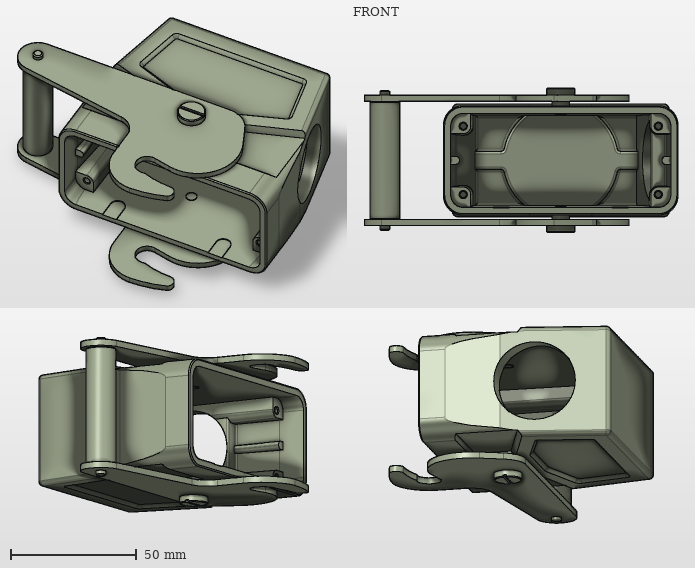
import cadquery as cq
import math


HOOD_HEIGHT = 76.0
MOUTH_HALF_LENGTH = 46.6
SKIRT_HALF_DEPTH = 21.7
SKIRT_CORNER_RADIUS = 7.7
PANEL_HALF_DEPTH = 22.5
PANEL_FILLET = 1.9
MOUTH_CHAMFER = 0.5
SKIRT_TOP = 11.0
KNEE_Y = 33.0
KNEE_INSET = 2.1
END_SLOPE = 0.2

SUNKEN_HALF_DEPTH = 20.2
SUNKEN_BOTTOM = 14.7
SUNKEN_BEVEL = 40.0
PIVOT_PAD_HALF_LENGTH = 12.5
CHEVRON_BOTTOM = 29.4
CHEVRON_HALF_FLAT = 12.5
CHEVRON_SLOPE = 0.34

RECESS_DEPTH = 1.5
RECESS_TOP = 68.0
RECESS_TOP_HALF_LENGTH = 29.7
RECESS_SIDE_BOTTOM = 44.9
RECESS_BOTTOM = 37.2
RECESS_CORNER_RADIUS = 2.2
RECESS_BEVEL = 45.0

CAVITY_HALF_LENGTH = 43.8
CAVITY_MOUTH_HALF_DEPTH = 18.7
CAVITY_FLOOR_HALF_DEPTH = 17.8
CAVITY_CORNER_RADIUS = 5.1
CAVITY_FLOOR = 72.8
CAVITY_FLOOR_FILLET = 1.0

PLATFORM_HEIGHT = 2.5
PLATFORM_RADIUS = 23.0
PLATFORM_BAND_HALF_WIDTH = 3.6
PLATFORM_NOTCH_RADIUS = 1.2
PLATFORM_FILLET = 1.0

POST_FACE = 9.4
POST_INNER_X = 35.8
POST_INNER_Z = 10.6
POST_CORNER_RADIUS = 3.0
POST_DRAFT = 1.0
POST_HOLE_X = 38.8
POST_HOLE_Z = 13.6
POST_HOLE_DIAMETER = 2.5
POST_HOLE_DEPTH = 12.5
POST_HOLE_CHAMFER = 0.4
RIB_NOSE_X = 40.3
RIB_HALF_WIDTH = 1.6
RIB_NOSE_RADIUS = 1.5

ENTRY_LEDGE = 29.9
ENTRY_LEDGE_FILLET = 0.7
ENTRY_LEAN_START = 48.0
ENTRY_FLOOR_X = 30.2
ENTRY_RADIUS = 16.0
ENTRY_CENTRE_Y = 46.5

GROOVE_X = 23.7
GROOVE_WIDTH = 6.2
GROOVE_LENGTH = 10.0
GROOVE_DEPTH = 0.2

PLATE_INNER_Z = 23.5
PLATE_THICKNESS = 2.5
PLATE_OUTER_Z = PLATE_INNER_Z + PLATE_THICKNESS
HANDLE_CENTRE = (-70.0, 27.2)
HANDLE_END_RADIUS = 8.1
ARM_ANGLE = 9.1
ELBOW_RADIUS = 7.9
HOOK_CENTRE = (-2.6, -8.0)
HOOK_OUTER_RADIUS = 15.1
HOOK_INNER_RADIUS = 4.9
HOOK_TIP_LOWER = (12.7, -20.3)
HOOK_TIP_END = (14.2, -18.0)
HOOK_TIP_UPPER = (11.5, -15.0)
HOOK_BACK_MIDDLE = (5.1, -22.3)
HOOK_LIP_MIDDLE = (4.7, -14.3)
HOOK_LIP_ANGLE = -75.0
LOBE_CENTRE = (9.2, 12.8)
LOBE_RADIUS = 18.0
LOBE_MIDDLE_ANGLE = -30.0
LOBE_EDGE_ANGLE = 23.0
SHOULDER_RADIUS = 10.6

HANDLE_RADIUS = 6.0
HANDLE_CHAMFER = 0.4
PIN_RADIUS = 2.0
PIN_HALF_LENGTH = 27.8
PIN_CHAMFER = 0.5
PIVOT_Y = 25.1
SCREW_HEAD_RADIUS = 5.6
SCREW_SPAN = 57.5
SCREW_TOP_Z = SCREW_SPAN / 2
SCREW_CHAMFER = 0.4
SCREW_SLOT_WIDTH = 1.2
SCREW_SLOT_DEPTH = 0.9
COLLAR_RADIUS = 3.5
PIVOT_TIP_DIAMETER = 4.4
PIVOT_TIP_PROTRUSION = 0.2

OVERLAP = 1.2
LARGE = 249.5


def polar(centre, radius, degrees):
    angle = math.radians(degrees)
    return (centre[0] + radius * math.cos(angle), centre[1] + radius * math.sin(angle))


def box(x_range, y_range, z_range):
    (x0, x1), (y0, y1), (z0, z1) = x_range, y_range, z_range
    return cq.Workplane("XY").box(x1 - x0, y1 - y0, z1 - z0, centered=False).translate((x0, y0, z0))


def both_sides(solid):
    return solid.union(solid.mirror("XY"))


def cylinder_z(centre, radius, z0, z1):
    return cq.Workplane("XY", origin=(0, 0, z0)).center(*centre).circle(radius).extrude(z1 - z0)


def wall_x(mouth_half, y):
    """Half length between the upper end walls at height y."""
    return mouth_half - KNEE_INSET - END_SLOPE * (y - KNEE_Y)


def hood_profile(mouth_half, height, half_depth):
    """Upright skirt with twice-leaning end walls above it, extruded along Z."""
    right_side = [
        (mouth_half, 0),
        (mouth_half, SKIRT_TOP),
        (mouth_half - KNEE_INSET, KNEE_Y),
        (wall_x(mouth_half, height), height),
    ]
    left_side = [(-x, y) for x, y in reversed(right_side)]
    return (
        cq.Workplane("XY", origin=(0, 0, -half_depth))
        .polyline(right_side + left_side)
        .close()
        .extrude(2 * half_depth)
    )


def rounded_prism(half_length, half_depth, corner_radius, height):
    """Rounded rectangle in XZ, running along +Y from the mouth."""
    return (
        cq.Workplane("XZ")
        .rect(2 * half_length, 2 * half_depth)
        .extrude(-height)
        .edges("|Y")
        .fillet(corner_radius)
    )


def chevron_y(x):
    return CHEVRON_BOTTOM + CHEVRON_SLOPE * max(0, abs(x) - CHEVRON_HALF_FLAT)


def chevron_points():
    """Lower border of the upper panel, from right to left."""
    reach = LARGE / 2
    return [(x, chevron_y(x)) for x in (reach, CHEVRON_HALF_FLAT, -CHEVRON_HALF_FLAT, -reach)]


def upper_panel():
    base_y = CHEVRON_BOTTOM
    base_x = wall_x(MOUTH_HALF_LENGTH, base_y)
    top_x = wall_x(MOUTH_HALF_LENGTH, HOOD_HEIGHT)
    block = (
        cq.Workplane("XY", origin=(0, 0, -PANEL_HALF_DEPTH))
        .polyline([(-base_x, base_y), (base_x, base_y), (top_x, HOOD_HEIGHT), (-top_x, HOOD_HEIGHT)])
        .close()
        .extrude(2 * PANEL_HALF_DEPTH)
    )
    block = block.faces("|Z").edges("not |X").fillet(PANEL_FILLET)
    block = block.faces(">Y").edges().fillet(PANEL_FILLET)
    right, left = chevron_points()[0], chevron_points()[-1]
    above_chevron = (
        cq.Workplane("XY", origin=(0, 0, -LARGE / 2))
        .polyline(chevron_points() + [(left[0], LARGE), (right[0], LARGE)])
        .close()
        .extrude(LARGE)
    )
    return block.intersect(above_chevron)


def sunken_face_cutter():
    right, left = chevron_points()[0], chevron_points()[-1]
    cutter = (
        cq.Workplane("XY", origin=(0, 0, SUNKEN_HALF_DEPTH))
        .polyline(chevron_points() + [(left[0], SUNKEN_BOTTOM), (right[0], SUNKEN_BOTTOM)])
        .close()
        .extrude(PANEL_HALF_DEPTH - SUNKEN_HALF_DEPTH + OVERLAP, taper=-SUNKEN_BEVEL)
    )
    return both_sides(cutter)


def label_recess_cutter():
    side_x = RECESS_TOP_HALF_LENGTH + END_SLOPE * (RECESS_TOP - RECESS_SIDE_BOTTOM)
    corners = [
        (-RECESS_TOP_HALF_LENGTH, RECESS_TOP),
        (-side_x, RECESS_SIDE_BOTTOM),
        (-CHEVRON_HALF_FLAT, RECESS_BOTTOM),
        (CHEVRON_HALF_FLAT, RECESS_BOTTOM),
        (side_x, RECESS_SIDE_BOTTOM),
        (RECESS_TOP_HALF_LENGTH, RECESS_TOP),
    ]
    blank = cq.Workplane("XY").polyline(corners).close().extrude(1.2)
    outline = blank.edges("|Z").fillet(RECESS_CORNER_RADIUS).faces("<Z").wires().val()
    outline = outline.translate(cq.Vector(0, 0, PANEL_HALF_DEPTH))
    cutter = cq.Workplane("XY", origin=(0, 0, PANEL_HALF_DEPTH)).add(outline).toPending()
    return both_sides(cutter.extrude(-RECESS_DEPTH, taper=RECESS_BEVEL))


def hood_outside():
    skirt_height = chevron_y(wall_x(MOUTH_HALF_LENGTH, KNEE_Y))
    skirt = rounded_prism(MOUTH_HALF_LENGTH, SKIRT_HALF_DEPTH, SKIRT_CORNER_RADIUS, skirt_height)
    skirt = skirt.faces("<Y").edges().chamfer(MOUTH_CHAMFER)
    skirt = skirt.intersect(hood_profile(MOUTH_HALF_LENGTH, HOOD_HEIGHT, LARGE / 2))
    body = skirt.union(upper_panel()).cut(sunken_face_cutter())
    pivot_pad = box(
        (-PIVOT_PAD_HALF_LENGTH, PIVOT_PAD_HALF_LENGTH),
        (SKIRT_TOP, CHEVRON_BOTTOM + OVERLAP),
        (-SKIRT_HALF_DEPTH, SKIRT_HALF_DEPTH),
    )
    body = body.union(pivot_pad)
    return body.cut(label_recess_cutter())


def floor_platform():
    """Disc with a band along X, its notches and rim rounded."""
    base = cq.Workplane("XZ", origin=(0, CAVITY_FLOOR - PLATFORM_HEIGHT, 0))
    disc = base.circle(PLATFORM_RADIUS).extrude(-PLATFORM_HEIGHT)
    band = base.rect(LARGE, 2 * PLATFORM_BAND_HALF_WIDTH).extrude(-PLATFORM_HEIGHT)
    platform = disc.union(band)
    reach = PLATFORM_RADIUS
    notches = cq.selectors.BoxSelector((-reach, 0, -reach), (reach, LARGE, reach))
    platform = platform.edges("|Y").edges(notches).fillet(PLATFORM_NOTCH_RADIUS)
    return platform.faces("<Y").edges().fillet(PLATFORM_FILLET)


def mounting_post(side_x, side_z):
    width = MOUTH_HALF_LENGTH - POST_INNER_X
    depth = SKIRT_HALF_DEPTH - POST_INNER_Z
    outline = cq.Sketch().rect(width, depth).vertices("<X and <Y").fillet(POST_CORNER_RADIUS)
    post = (
        cq.Workplane("XZ", origin=(POST_INNER_X + width / 2, POST_FACE, POST_INNER_Z + depth / 2))
        .placeSketch(outline)
        .extrude(POST_FACE - CAVITY_FLOOR, taper=-POST_DRAFT)
    )
    if side_x < 0:
        post = post.mirror("YZ")
    if side_z < 0:
        post = post.mirror("XY")
    return post


def guide_rib(side_x):
    rib = box((RIB_NOSE_X, LARGE), (POST_FACE, LARGE), (-RIB_HALF_WIDTH, RIB_HALF_WIDTH))
    rib = rib.edges("|Y and <X").fillet(RIB_NOSE_RADIUS)
    return rib if side_x > 0 else rib.mirror("YZ")


def entry_wall():
    wall = (
        cq.Workplane("XY", origin=(0, 0, -LARGE / 2))
        .polyline([
            (LARGE, ENTRY_LEDGE),
            (POST_INNER_X, ENTRY_LEDGE),
            (POST_INNER_X, ENTRY_LEAN_START),
            (ENTRY_FLOOR_X, CAVITY_FLOOR),
            (LARGE, CAVITY_FLOOR),
        ])
        .close()
        .extrude(LARGE)
    )
    return wall.faces("<Y").edges("<X").fillet(ENTRY_LEDGE_FILLET)


def cavity():
    """Hollow of the hood, with the posts, ribs, entry wall and platform left standing."""
    drafted = (
        cq.Workplane("YZ", origin=(-LARGE / 2, 0, 0))
        .polyline([
            (0, -CAVITY_MOUTH_HALF_DEPTH),
            (CAVITY_FLOOR, -CAVITY_FLOOR_HALF_DEPTH),
            (CAVITY_FLOOR, CAVITY_FLOOR_HALF_DEPTH),
            (0, CAVITY_MOUTH_HALF_DEPTH),
        ])
        .close()
        .extrude(LARGE)
    )
    hollow = hood_profile(CAVITY_HALF_LENGTH, CAVITY_FLOOR, LARGE / 2).intersect(drafted)
    hollow = hollow.cut(floor_platform())
    hollow = hollow.faces(">Y").edges().fillet(CAVITY_FLOOR_FILLET)
    hollow = hollow.intersect(
        rounded_prism(CAVITY_HALF_LENGTH, CAVITY_MOUTH_HALF_DEPTH, CAVITY_CORNER_RADIUS, HOOD_HEIGHT)
    )
    hollow = hollow.cut(entry_wall())
    ledge_root = cq.selectors.BoxSelector(
        (POST_INNER_X + ENTRY_LEDGE_FILLET, ENTRY_LEDGE - ENTRY_LEDGE_FILLET, -1.2),
        (MOUTH_HALF_LENGTH, ENTRY_LEDGE + ENTRY_LEDGE_FILLET, 1.2),
    )
    hollow = hollow.edges("|Z").edges(ledge_root).fillet(ENTRY_LEDGE_FILLET)
    for side_x in (-1, 1):
        hollow = hollow.cut(guide_rib(side_x))
        for side_z in (-1, 1):
            hollow = hollow.cut(mounting_post(side_x, side_z))
    return hollow


def post_holes():
    radius = POST_HOLE_DIAMETER / 2
    corners = [(x, z) for x in (-POST_HOLE_X, POST_HOLE_X) for z in (-POST_HOLE_Z, POST_HOLE_Z)]
    face = cq.Workplane("XZ", origin=(0, POST_FACE, 0)).pushPoints(corners)
    drills = face.circle(radius).extrude(-POST_HOLE_DEPTH)
    sinks = face.circle(radius + POST_HOLE_CHAMFER).extrude(-POST_HOLE_CHAMFER, taper=45)
    return drills.union(sinks)


def cable_entry():
    return cq.Workplane("YZ").center(ENTRY_CENTRE_Y, 0).circle(ENTRY_RADIUS).extrude(LARGE)


def guide_grooves():
    straight = GROOVE_LENGTH - GROOVE_WIDTH / 2
    floor_z = -CAVITY_MOUTH_HALF_DEPTH - GROOVE_DEPTH
    grooves = cq.Workplane("XY")
    for x in (-GROOVE_X, GROOVE_X):
        half = GROOVE_WIDTH / 2
        channel = box((x - half, x + half), (0, straight), (floor_z, 0))
        end = cylinder_z((x, straight), half, floor_z, 0)
        grooves = grooves.add(channel).add(end)
    return grooves.combine()


def lever_outline():
    """Handle arm, shoulder, lobe and hook as one closed outline."""
    arm_top = HANDLE_CENTRE[1] + HANDLE_END_RADIUS
    lean = math.radians(ARM_ANGLE)

    arm_start = polar(HANDLE_CENTRE, HANDLE_END_RADIUS, -90 - ARM_ANGLE)
    back_x = HOOK_CENTRE[0] - HOOK_OUTER_RADIUS
    elbow_corner_y = arm_start[1] - (back_x - arm_start[0]) * math.tan(lean)
    elbow_setback = ELBOW_RADIUS * math.tan((math.pi / 2 - lean) / 2)
    elbow_end = (back_x, elbow_corner_y - elbow_setback)
    elbow_centre = (back_x - ELBOW_RADIUS, elbow_end[1])
    elbow_start = polar(elbow_centre, ELBOW_RADIUS, 90 - ARM_ANGLE)
    elbow_middle = polar(elbow_centre, ELBOW_RADIUS, (90 - ARM_ANGLE) / 2)

    gap_x = LOBE_CENTRE[0] - HOOK_CENTRE[0]
    gap_y = LOBE_CENTRE[1] - HOOK_CENTRE[1]
    spread = math.degrees(math.acos((HOOK_INNER_RADIUS + LOBE_RADIUS) / math.hypot(gap_x, gap_y)))
    throat_angle = math.degrees(math.atan2(gap_y, gap_x)) + spread
    throat_end = polar(HOOK_CENTRE, HOOK_INNER_RADIUS, throat_angle)
    lobe_start = polar(LOBE_CENTRE, LOBE_RADIUS, throat_angle - 180)

    lobe_end = polar(LOBE_CENTRE, LOBE_RADIUS, LOBE_EDGE_ANGLE)
    edge = math.radians(LOBE_EDGE_ANGLE)
    shoulder_y = arm_top - SHOULDER_RADIUS
    shoulder_start_y = shoulder_y + SHOULDER_RADIUS * math.sin(edge)
    shoulder_start_x = lobe_end[0] - (shoulder_start_y - lobe_end[1]) * math.tan(edge)
    shoulder_centre = (shoulder_start_x - SHOULDER_RADIUS * math.cos(edge), shoulder_y)

    return (
        cq.Workplane("XY", origin=(0, 0, PLATE_INNER_Z))
        .moveTo(HANDLE_CENTRE[0], arm_top)
        .threePointArc(polar(HANDLE_CENTRE, HANDLE_END_RADIUS, 180), arm_start)
        .lineTo(*elbow_start)
        .threePointArc(elbow_middle, elbow_end)
        .lineTo(back_x, HOOK_CENTRE[1])
        .threePointArc(polar(HOOK_CENTRE, HOOK_OUTER_RADIUS, 225), polar(HOOK_CENTRE, HOOK_OUTER_RADIUS, 270))
        .threePointArc(HOOK_BACK_MIDDLE, HOOK_TIP_LOWER)
        .threePointArc(HOOK_TIP_END, HOOK_TIP_UPPER)
        .threePointArc(HOOK_LIP_MIDDLE, polar(HOOK_CENTRE, HOOK_INNER_RADIUS, HOOK_LIP_ANGLE))
        .threePointArc(polar(HOOK_CENTRE, HOOK_INNER_RADIUS, 180), throat_end)
        .lineTo(*lobe_start)
        .threePointArc(polar(LOBE_CENTRE, LOBE_RADIUS, LOBE_MIDDLE_ANGLE), lobe_end)
        .lineTo(shoulder_start_x, shoulder_start_y)
        .threePointArc(
            polar(shoulder_centre, SHOULDER_RADIUS, (LOBE_EDGE_ANGLE + 90) / 2),
            (shoulder_centre[0], arm_top),
        )
        .close()
    )


def pivot_screw():
    pivot = (0, PIVOT_Y)
    head = cylinder_z(pivot, SCREW_HEAD_RADIUS, PLATE_OUTER_Z, SCREW_TOP_Z)
    head = head.faces(">Z").edges().chamfer(SCREW_CHAMFER)
    slot_half = SCREW_SLOT_WIDTH / 2
    slot = box(
        (-SCREW_HEAD_RADIUS, SCREW_HEAD_RADIUS),
        (PIVOT_Y - slot_half, PIVOT_Y + slot_half),
        (SCREW_TOP_Z - SCREW_SLOT_DEPTH, SCREW_TOP_Z),
    )
    collar = cylinder_z(pivot, COLLAR_RADIUS, SUNKEN_HALF_DEPTH - OVERLAP, PLATE_INNER_Z)
    draft = (CAVITY_MOUTH_HALF_DEPTH - CAVITY_FLOOR_HALF_DEPTH) / CAVITY_FLOOR
    inner_wall_z = CAVITY_MOUTH_HALF_DEPTH - draft * PIVOT_Y
    tip_z = inner_wall_z - PIVOT_TIP_PROTRUSION
    tip = cylinder_z(pivot, PIVOT_TIP_DIAMETER / 2, tip_z, SUNKEN_HALF_DEPTH)
    return head.cut(slot).union(collar).union(tip)


def lever():
    plate = lever_outline().extrude(PLATE_THICKNESS)
    bar = cylinder_z(HANDLE_CENTRE, HANDLE_RADIUS, -PLATE_INNER_Z, PLATE_INNER_Z)
    bar = bar.faces("|Z").edges().chamfer(HANDLE_CHAMFER)
    pin = cylinder_z(HANDLE_CENTRE, PIN_RADIUS, -PIN_HALF_LENGTH, PIN_HALF_LENGTH)
    pin = pin.faces("|Z").edges().chamfer(PIN_CHAMFER)
    return both_sides(plate.union(pivot_screw())).union(bar).union(pin)


hood = hood_outside().cut(cavity()).cut(post_holes()).cut(cable_entry()).cut(guide_grooves())
result = hood.union(lever())